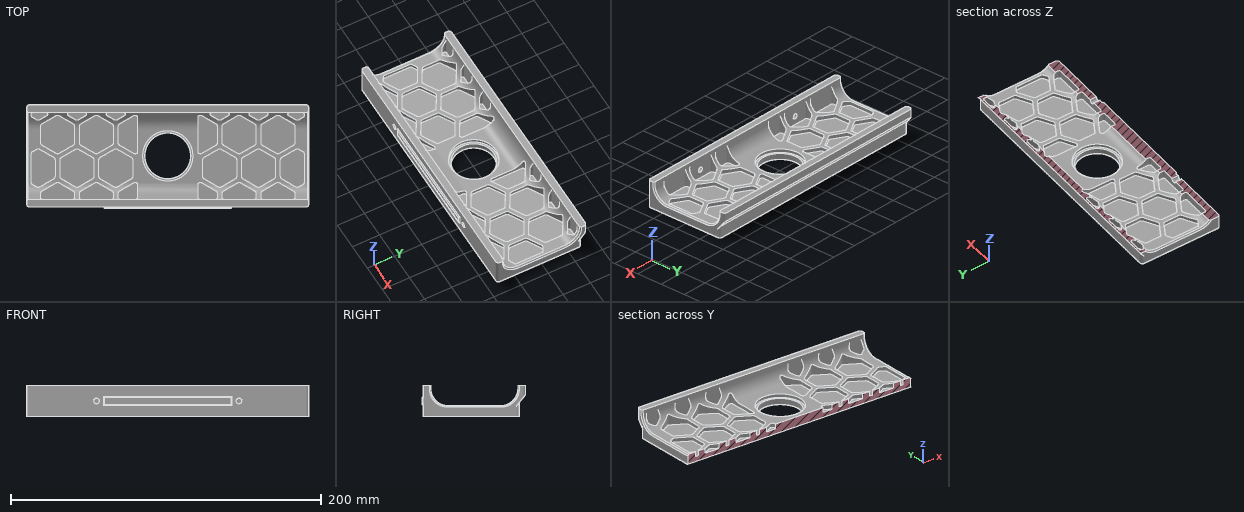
import cadquery as cq
import math

length = 182.0
height = 20.0
half_width = 33.0
corner_radius = 2.0

relief_depth = 4.0
relief_height = 9.0
relief_slope_top = 14.0

wall = 5.0
floor_height = 7.0
trough_radius = 11.0
rim_chamfer = 1.0
trough_half = half_width - wall
flat_half = trough_half - trough_radius

hole_diameter = 29.4
counterbore_diameter = 32.4
counterbore_depth = 2.5

cell_flats = 22.0
cell_pitch = 25.0
row_pitch = cell_pitch * math.sin(math.radians(60))
cell_corner_radius = 2.0
pocket_floor = 4.0
pattern_inner_x = 19.4
pattern_outer_x = 88.0
pattern_half_width = trough_half
trimmed_corner_radius = 1.1
first_even_x = 33.5
first_odd_x = first_even_x - cell_pitch / 2
even_row_y = -7.9
pocket_rows = (-1, 0, 1, 2)
cells_per_row = 3

label_length = 83.0
label_height = 6.0
label_thickness = 0.8
label_taper = 45.0
side_feature_z = height / 2
pin_diameter = 3.6
pin_x = 45.9
pin_hole_depth = half_width - flat_half


def make_body():
    """Outer block: side profile swept along X, with rounded end edges."""
    profile = [
        (-half_width, 0),
        (half_width - relief_depth, 0),
        (half_width - relief_depth, relief_height),
        (half_width, relief_slope_top),
        (half_width, height),
        (-half_width, height),
    ]
    body = cq.Workplane("YZ").polyline(profile).close().extrude(length / 2, both=True)
    return body.edges("|Z").fillet(corner_radius)


def trough_wire(x, offset):
    """Closed trough cross-section at x, enlarged outwards by offset."""
    side = trough_half + offset
    radius = trough_radius + offset
    bottom = floor_height - offset
    arc_centre_z = floor_height + trough_radius
    diagonal = radius * math.sqrt(0.5)
    outline = (
        cq.Workplane("YZ", origin=(x, 0, 0))
        .moveTo(-side, height)
        .lineTo(-side, arc_centre_z)
        .threePointArc((-flat_half - diagonal, arc_centre_z - diagonal), (-flat_half, bottom))
        .lineTo(flat_half, bottom)
        .threePointArc((flat_half + diagonal, arc_centre_z - diagonal), (side, arc_centre_z))
        .lineTo(side, height)
        .close()
    )
    return outline.val()


def make_trough():
    """Through trough with a chamfered rim at both ends."""
    narrow_start = trough_wire(-length / 2, 0)
    trough = cq.Workplane(cq.Solid.extrudeLinear(narrow_start, [], cq.Vector(length, 0, 0)))
    for side in (-1, 1):
        end_x = side * length / 2
        wide = trough_wire(end_x, rim_chamfer)
        narrow = trough_wire(end_x - side * rim_chamfer, 0)
        trough = trough.union(cq.Workplane(cq.Solid.makeLoft([wide, narrow], True)))
    return trough


def on_field_boundary(edge):
    """True for a vertical edge that lies on a side of the pocket field."""
    centre = edge.Center()
    limits_x = (pattern_inner_x, pattern_outer_x)
    on_x = any(math.isclose(abs(centre.x), limit) for limit in limits_x)
    return on_x or math.isclose(abs(centre.y), pattern_half_width)


def make_cell(x, y):
    """One hexagonal pocket with rounded corners, trimmed to its field and rounded where trimmed."""
    depth = height - pocket_floor
    cell_diameter = cell_flats / math.cos(math.radians(30))
    field_length = pattern_outer_x - pattern_inner_x
    field_x = math.copysign((pattern_outer_x + pattern_inner_x) / 2, x)
    field = (
        cq.Workplane("XY", origin=(field_x, 0, pocket_floor))
        .rect(field_length, 2 * pattern_half_width)
        .extrude(depth)
    )
    cell = (
        cq.Workplane("XY", origin=(x, y, pocket_floor))
        .transformed(rotate=(0, 0, 90))
        .polygon(6, cell_diameter)
        .extrude(depth)
        .edges("|Z")
        .fillet(cell_corner_radius)
        .intersect(field)
    )
    trimmed_corners = cell.edges("|Z").filter(on_field_boundary)
    if trimmed_corners.size() > 0:
        cell = trimmed_corners.fillet(trimmed_corner_radius)
    return cell


def cut_honeycomb(part):
    """Four staggered rows of pockets on each side of the central hole."""
    for row in pocket_rows:
        first_x = first_even_x if row % 2 == 0 else first_odd_x
        y = even_row_y + row * row_pitch
        for column in range(cells_per_row):
            x = first_x + column * cell_pitch
            for side in (-1, 1):
                part = part.cut(make_cell(side * x, y))
    return part


def cut_floor_hole(part):
    """Central through hole, counterbored from the trough floor."""
    hole = cq.Workplane("XY").circle(hole_diameter / 2).extrude(floor_height)
    counterbore = (
        cq.Workplane("XY", origin=(0, 0, floor_height - counterbore_depth))
        .circle(counterbore_diameter / 2)
        .extrude(counterbore_depth)
    )
    return part.cut(hole).cut(counterbore)


def add_label_bar(part):
    """Raised bar with bevelled edges on the -Y side."""
    bar = (
        cq.Workplane("XZ", origin=(0, -half_width, side_feature_z))
        .rect(label_length, label_height)
        .extrude(label_thickness, taper=label_taper)
    )
    return part.union(bar)


def cut_pin_holes(part):
    """Holes through the -Y wall, one at each end of the label bar."""
    pins = (
        cq.Workplane("XZ", origin=(0, -half_width, side_feature_z))
        .pushPoints([(-pin_x, 0), (pin_x, 0)])
        .circle(pin_diameter / 2)
        .extrude(-pin_hole_depth)
    )
    return part.cut(pins)


result = make_body().cut(make_trough())
result = cut_honeycomb(result)
result = cut_floor_hole(result)
result = add_label_bar(result)
result = cut_pin_holes(result)